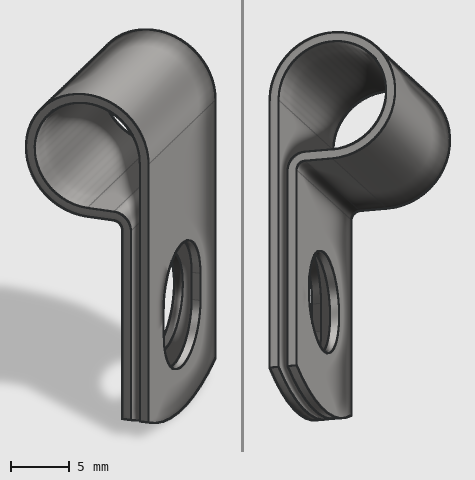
import cadquery as cq
import math

height = 30.9
width = 15.9
loop_diameter = 11.15
thickness = 0.8
leg_gap = 0.8
bend_inner_radius = 0.75
hole_diameter = 8.72
hole_height = 9.55
slot_travel = 2.47
end_arc_rise = 1.73

loop_radius = loop_diameter / 2
inner_radius = loop_radius - thickness
bottom = loop_radius - height
bend_outer_radius = bend_inner_radius + thickness

short_leg_right = inner_radius - leg_gap
short_leg_left = short_leg_right - thickness
gap_middle = inner_radius - leg_gap / 2
bend_x = short_leg_left - bend_inner_radius
bend_z = -loop_radius - bend_inner_radius


def bend_middle(radius):
    """Midpoint of the quarter bend at the given radius."""
    offset = radius * math.sqrt(0.5)
    return (bend_x + offset, bend_z + offset)


def loop_middle(radius):
    """Midpoint of the three-quarter loop arc at the given radius."""
    offset = radius * math.sqrt(0.5)
    return (-offset, offset)


def make_strip():
    """Bent strip: long leg, loop, bend and short leg, extruded along the width."""
    return (
        cq.Workplane("XZ")
        .moveTo(loop_radius, bottom)
        .lineTo(loop_radius, 0)
        .threePointArc(loop_middle(loop_radius), (0, -loop_radius))
        .lineTo(bend_x, -loop_radius)
        .threePointArc(bend_middle(bend_inner_radius), (short_leg_left, bend_z))
        .lineTo(short_leg_left, bottom)
        .lineTo(short_leg_right, bottom)
        .lineTo(short_leg_right, bend_z)
        .threePointArc(bend_middle(bend_outer_radius), (bend_x, -inner_radius))
        .lineTo(0, -inner_radius)
        .threePointArc(loop_middle(inner_radius), (inner_radius, 0))
        .lineTo(inner_radius, bottom)
        .close()
        .extrude(width / 2, both=True)
    )


def make_rounded_outline():
    """Block with the side outline of the clip, closed below by the end arc."""
    half_width = width / 2
    corner_z = bottom + end_arc_rise
    return (
        cq.Workplane("YZ")
        .moveTo(-half_width, loop_radius)
        .lineTo(-half_width, corner_z)
        .threePointArc((0, bottom), (half_width, corner_z))
        .lineTo(half_width, loop_radius)
        .close()
        .extrude(loop_radius, both=True)
    )


def make_bolt_hole():
    """Cylinder along X that passes through the short leg only."""
    return (
        cq.Workplane("YZ", origin=(gap_middle, 0, bottom + hole_height))
        .circle(hole_diameter / 2)
        .extrude(-loop_radius)
    )


def make_bolt_slot():
    """Upright slot along X that passes through the long leg only."""
    return (
        cq.Workplane("YZ", origin=(gap_middle, 0, bottom + hole_height))
        .slot2D(hole_diameter + slot_travel, hole_diameter, 90)
        .extrude(loop_radius)
    )


clip = make_strip().intersect(make_rounded_outline())
result = clip.cut(make_bolt_hole()).cut(make_bolt_slot())